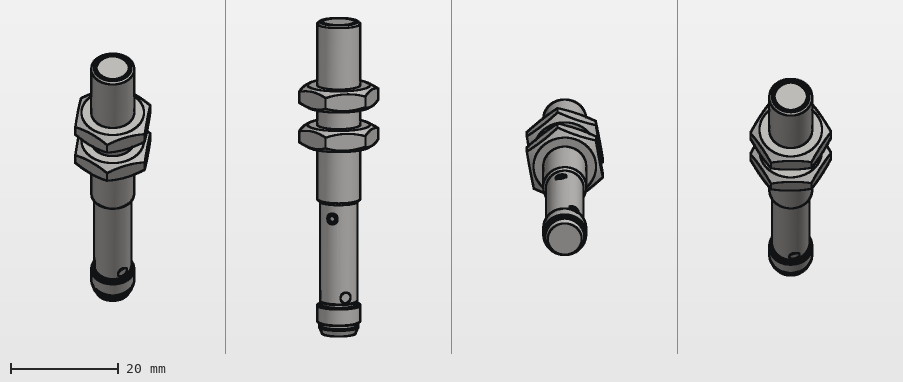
import cadquery as cq
import math

TOTAL_LENGTH = 59.0
HOUSING_RADIUS = 4.0
HOUSING_BOTTOM = 24.95
HOUSING_BOTTOM_CHAMFER = 0.5
RIM_CHAMFER_WIDTH = 0.5
RIM_CHAMFER_HEIGHT = 0.4
BORE_RADIUS = 3.0
BORE_CHAMFER_WIDTH = 0.4
BORE_CHAMFER_HEIGHT = 0.2

NUT_ACROSS_FLATS = 13.0
NUT_HEIGHT = 4.0
NUT_BOTTOMS = (35.5, 43.0)
NUT_TURN = 2.0
NUT_FACE_RADIUS = 5.8
NUT_CHAMFER_ANGLE = 30.0

TUBE_RADIUS = 3.5
TUBE_BOTTOM = 6.0
TUBE_CHAMFER_HEIGHT = 0.2
NECK_RADIUS = 3.35
COLLAR_RADIUS = 4.0
COLLAR_BOTTOM = 2.1
COLLAR_TOP = 5.5
COLLAR_CHAMFER_WIDTH = 0.3
COLLAR_CHAMFER_HEIGHT = 0.2
RIDGE_RADIUS = 3.7
RIDGE_BOTTOM = 1.2
RIDGE_TOP = 1.45
TIP_TOP_RADIUS = 3.6
TIP_END_RADIUS = 3.15

DIMPLE_RADIUS = 1.0
DIMPLE_DEPTH = 0.15
DIMPLE_HEIGHT = 7.35
DIMPLE_ANGLES = (-137.0, -17.0, 103.0)

LAMP_HEIGHT = 22.3
LAMP_ANGLE = 180.0
LAMP_OUTER_RADIUS = 1.0
LAMP_INNER_RADIUS = 0.6
LAMP_DEPTH = 0.3


def revolve_outline(points):
    """Turn a closed (radius, height) outline about the Z axis."""
    outline = cq.Workplane("XZ").polyline(points).close()
    return outline.revolve(360, (0, 0, 0), (0, 1, 0))


def make_nut(bottom):
    """Hexagon with both end faces chamfered by a cone."""
    corner_radius = NUT_ACROSS_FLATS / 2 / math.cos(math.radians(30))
    corner_drop = (corner_radius - NUT_FACE_RADIUS) * math.tan(math.radians(NUT_CHAMFER_ANGLE))
    top = bottom + NUT_HEIGHT
    hexagon = (
        cq.Workplane("XY", origin=(0, 0, bottom))
        .polygon(6, 2 * corner_radius)
        .extrude(NUT_HEIGHT)
        .rotate((0, 0, 0), (0, 0, 1), NUT_TURN)
    )
    chamfer_envelope = revolve_outline([
        (0, bottom),
        (NUT_FACE_RADIUS, bottom),
        (corner_radius, bottom + corner_drop),
        (corner_radius, top - corner_drop),
        (NUT_FACE_RADIUS, top),
        (0, top),
    ])
    return hexagon.intersect(chamfer_envelope)


def make_housing():
    """Tube with chamfered ends and a countersunk bore, carrying the nuts."""
    housing = revolve_outline([
        (BORE_RADIUS, HOUSING_BOTTOM),
        (HOUSING_RADIUS - HOUSING_BOTTOM_CHAMFER, HOUSING_BOTTOM),
        (HOUSING_RADIUS, HOUSING_BOTTOM + HOUSING_BOTTOM_CHAMFER),
        (HOUSING_RADIUS, TOTAL_LENGTH - RIM_CHAMFER_HEIGHT),
        (HOUSING_RADIUS - RIM_CHAMFER_WIDTH, TOTAL_LENGTH),
        (BORE_RADIUS + BORE_CHAMFER_WIDTH, TOTAL_LENGTH),
        (BORE_RADIUS, TOTAL_LENGTH - BORE_CHAMFER_HEIGHT),
    ])
    bore = cq.Workplane("XY").circle(BORE_RADIUS).extrude(TOTAL_LENGTH)
    for bottom in NUT_BOTTOMS:
        housing = housing.union(make_nut(bottom).cut(bore))
    return housing


def side_plane(angle, height, radius):
    """Plane at the given radius whose normal points outward at the given angle about Z."""
    outward = (math.cos(math.radians(angle)), math.sin(math.radians(angle)), 0)
    origin = (radius * outward[0], radius * outward[1], height)
    return cq.Workplane(cq.Plane(origin=origin, xDir=(0, 0, 1), normal=outward))


def make_dimple_cutter(angle):
    """Cutter for a round flat-bottomed dimple in the tube side."""
    floor = side_plane(angle, DIMPLE_HEIGHT, TUBE_RADIUS - DIMPLE_DEPTH)
    return floor.circle(DIMPLE_RADIUS).extrude(2 * DIMPLE_DEPTH)


def make_lamp_cutter():
    """Cutter for the ring groove that surrounds the indicator lamp."""
    floor = side_plane(LAMP_ANGLE, LAMP_HEIGHT, TUBE_RADIUS - LAMP_DEPTH)
    return floor.circle(LAMP_OUTER_RADIUS).circle(LAMP_INNER_RADIUS).extrude(2 * LAMP_DEPTH)


def make_insert():
    """Turned insert filling the bore, with its tube and plug end below the housing."""
    collar_edge_radius = COLLAR_RADIUS - COLLAR_CHAMFER_WIDTH
    insert = revolve_outline([
        (0, 0),
        (TIP_END_RADIUS, 0),
        (TIP_TOP_RADIUS, RIDGE_BOTTOM),
        (RIDGE_RADIUS, RIDGE_BOTTOM),
        (RIDGE_RADIUS, RIDGE_TOP),
        (NECK_RADIUS, RIDGE_TOP),
        (NECK_RADIUS, COLLAR_BOTTOM),
        (collar_edge_radius, COLLAR_BOTTOM),
        (COLLAR_RADIUS, COLLAR_BOTTOM + COLLAR_CHAMFER_HEIGHT),
        (COLLAR_RADIUS, COLLAR_TOP - COLLAR_CHAMFER_HEIGHT),
        (collar_edge_radius, COLLAR_TOP),
        (NECK_RADIUS, COLLAR_TOP),
        (NECK_RADIUS, TUBE_BOTTOM),
        (TUBE_RADIUS, TUBE_BOTTOM + TUBE_CHAMFER_HEIGHT),
        (TUBE_RADIUS, HOUSING_BOTTOM),
        (BORE_RADIUS, HOUSING_BOTTOM),
        (BORE_RADIUS, TOTAL_LENGTH),
        (0, TOTAL_LENGTH),
    ])
    for angle in DIMPLE_ANGLES:
        insert = insert.cut(make_dimple_cutter(angle))
    return insert.cut(make_lamp_cutter())


housing = make_housing()
insert = make_insert()

result = cq.Compound.makeCompound([housing.val(), insert.val()])